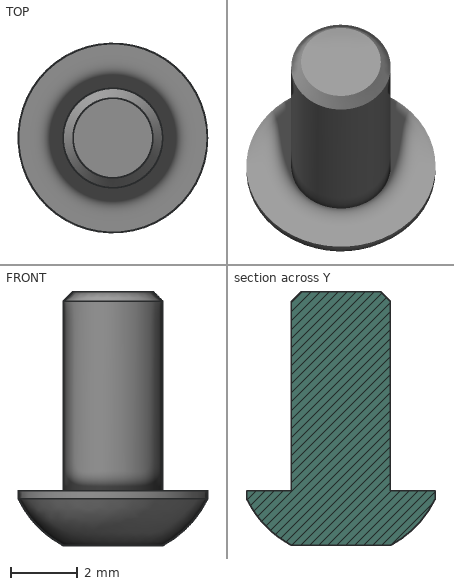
import cadquery as cq

total_height = 7.65
shank_diameter = 3.0
shank_length = 6.0
tip_chamfer = 0.3

head_diameter = 5.7
head_height = total_height - shank_length
rim_height = 0.245
crown_diameter = 3.0
dome_bulge = 0.15

head_radius = head_diameter / 2
crown_radius = crown_diameter / 2
dome_height = head_height - rim_height


def make_head():
    """Revolve the head: flat crown, domed side, straight rim."""
    return (
        cq.Workplane("XZ")
        .lineTo(crown_radius, 0)
        .sagittaArc((head_radius, dome_height), -dome_bulge)
        .lineTo(head_radius, head_height)
        .lineTo(0, head_height)
        .close()
        .revolve(360, (0, 0), (0, 1))
    )


def make_shank():
    """Plain round shank with a chamfered tip."""
    return (
        cq.Workplane("XY", origin=(0, 0, head_height))
        .circle(shank_diameter / 2)
        .extrude(shank_length)
        .faces(">Z")
        .chamfer(tip_chamfer)
    )


result = make_head().union(make_shank())